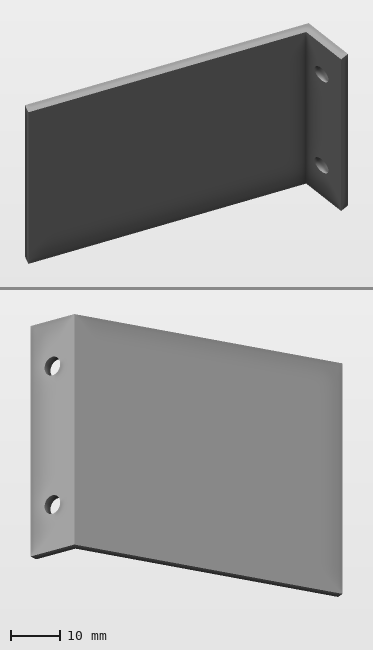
import cadquery as cq
import math

width = 37.15
depth = 56.4
height = 50.0

thickness = 2.0
wall_angle = math.radians(25)
hole_diameter = 4.0
hole_edge_distance = 10.0

wall_length = (depth - thickness * math.sin(wall_angle)) / math.cos(wall_angle)
wall_reach_x = wall_length * math.sin(wall_angle)
wall_reach_y = wall_length * math.cos(wall_angle)
flange_length = width - wall_reach_x

bend_setback = thickness * math.tan((math.pi / 2 - wall_angle) / 2)


def bent_plate():
    """Extrude the sharp-cornered bend profile, with its outer corner at the origin."""
    wall_end = (-wall_reach_x, -wall_reach_y)
    wall_end_inner = (
        wall_end[0] + thickness * math.cos(wall_angle),
        wall_end[1] - thickness * math.sin(wall_angle),
    )
    profile = [
        (0, 0),
        (flange_length, 0),
        (flange_length, -thickness),
        (bend_setback, -thickness),
        wall_end_inner,
        wall_end,
    ]
    return cq.Workplane("XY").polyline(profile).close().extrude(height)


def flange_holes():
    """Two cylinders through the flange, centred across its outer face."""
    hole_x = flange_length / 2
    hole_heights = (hole_edge_distance, height - hole_edge_distance)
    return (
        cq.Workplane("XZ")
        .pushPoints([(hole_x, z) for z in hole_heights])
        .circle(hole_diameter / 2)
        .extrude(thickness)
    )


result = bent_plate().cut(flange_holes())